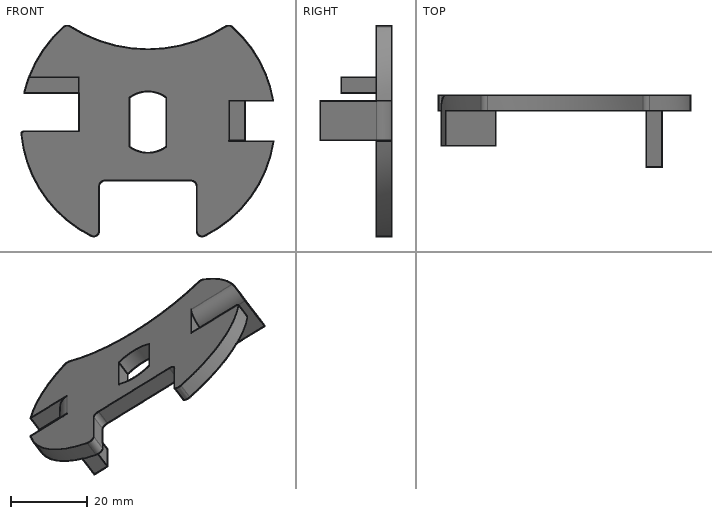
import cadquery as cq

disc_radius = 33.3
thickness = 4.15
tip_fillet = 1.45
edge_fillet = 0.7

recess_radius = 37.65
recess_bottom_z = 19.1

slot_width = 25.5
slot_top_z = -15.3
slot_fillet = 1.5

hole_diameter = 16.0
hole_width = 9.6

left_notch_x = -18.1
left_notch_bottom_z = -2.4
left_tab_bottom_z = 7.6
left_tab_length = 9.1

right_notch_x = 21.25
right_notch_bottom_z = -4.95
right_notch_top_z = 5.55
right_tab_length = 14.65
right_tab_gap = 0.2

reach = 2 * disc_radius

edge_margin = 0.65


def box(x_min, x_max, y_min, y_max, z_min, z_max):
    """Block between the given coordinates."""
    size = (x_max - x_min, y_max - y_min, z_max - z_min)
    return cq.Workplane("XY").box(*size, centered=False).translate((x_min, y_min, z_min))


def cylinder(radius, y_min, y_max, center_z=0):
    """Cylinder along Y, centred on X = 0."""
    section = cq.Workplane("XZ", origin=(0, y_max, center_z)).circle(radius)
    return section.extrude(y_max - y_min)


def edges_in(body, x_min, x_max, z_min, z_max):
    """Edges along Y whose centres lie in the given X-Z window."""
    selector = cq.selectors.BoxSelector((x_min, -reach, z_min), (x_max, reach, z_max))
    return body.edges("|Y").edges(selector)


def make_plate():
    plate = cylinder(disc_radius, 0, thickness)
    recess_center_z = recess_bottom_z + recess_radius
    plate = plate.cut(cylinder(recess_radius, 0, thickness, recess_center_z))
    half_slot = slot_width / 2
    plate = plate.cut(box(-half_slot, half_slot, 0, thickness, -reach, slot_top_z))

    plate = edges_in(plate, -reach, reach, recess_bottom_z, reach).fillet(tip_fillet)
    slot_side = half_slot + edge_margin
    corner_bottom_z = slot_top_z - edge_margin
    plate = edges_in(plate, -slot_side, slot_side, corner_bottom_z, slot_top_z + edge_margin).fillet(slot_fillet)
    lower_tip_limit_z = corner_bottom_z - slot_fillet
    plate = edges_in(plate, -slot_side, slot_side, -reach, lower_tip_limit_z).fillet(tip_fillet)

    half_hole = hole_width / 2
    hole = cylinder(hole_diameter / 2, 0, thickness)
    hole = hole.intersect(box(-half_hole, half_hole, 0, thickness, -reach, reach))
    return plate.cut(hole)


def cut_notches(plate):
    left_notch_top_z = left_tab_bottom_z + thickness
    left = box(-reach, left_notch_x, 0, thickness, left_notch_bottom_z, left_notch_top_z)
    right = box(right_notch_x, reach, 0, thickness, right_notch_bottom_z, right_notch_top_z)
    plate = plate.cut(left).cut(right)
    lip_bottom_z = left_notch_bottom_z - edge_margin
    lip_top_z = left_notch_bottom_z + edge_margin
    lip = edges_in(plate, -reach, left_notch_x - edge_margin, lip_bottom_z, lip_top_z)
    return lip.fillet(edge_fillet)


def make_left_tab():
    """Tab with a rounded outer bend, its free end following the disc outline."""
    tab = box(-reach, left_notch_x, -left_tab_length, thickness,
              left_tab_bottom_z, left_tab_bottom_z + thickness)
    bend = cq.Workplane("YZ", origin=(-reach, 0, left_tab_bottom_z + thickness))
    bend = bend.circle(thickness).extrude(reach + left_notch_x)
    stem = tab.intersect(box(-reach, 0, -reach, 0, -reach, reach))
    tab = tab.intersect(bend).union(stem)
    return tab.intersect(cylinder(disc_radius, -left_tab_length, thickness))


def make_right_tab():
    """Tab with a rounded outer bend along the inner edge of the right notch."""
    bottom_z = right_notch_bottom_z + right_tab_gap
    outer_x = right_notch_x + thickness
    stem = box(right_notch_x, outer_x, -right_tab_length, 0, bottom_z, right_notch_top_z)
    corner = box(right_notch_x, outer_x, 0, thickness, bottom_z, right_notch_top_z)
    bend = cq.Workplane("XY", origin=(right_notch_x, 0, bottom_z))
    bend = bend.circle(thickness).extrude(right_notch_top_z - bottom_z)
    return stem.union(corner.intersect(bend))


plate = cut_notches(make_plate())
result = plate.union(make_left_tab()).union(make_right_tab())